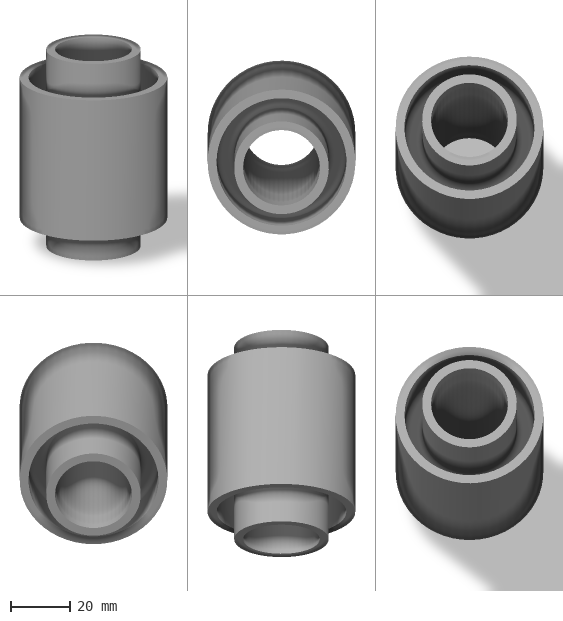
import cadquery as cq

outer_diameter = 50.0
outer_length = 50.0
inner_diameter = 32.0
inner_length = 70.0
bore_diameter = 26.0
sleeve_wall = 3.0
recess_depth = 15.0
fillet_radius = 2.0

recess_outer_diameter = outer_diameter - 2 * sleeve_wall
web_length = outer_length - 2 * recess_depth


def tube(outside_diameter, inside_diameter, length):
    """Plain tube on the Z axis, centred on the origin."""
    lower_end = cq.Workplane("XY").workplane(offset=-length / 2)
    return lower_end.circle(outside_diameter / 2).circle(inside_diameter / 2).extrude(length)


def end_recess():
    """Ring-shaped recess at the upper end, with rounded edges at its floor."""
    ring = (
        cq.Workplane("XY")
        .workplane(offset=web_length / 2)
        .circle(recess_outer_diameter / 2)
        .circle(inner_diameter / 2)
        .extrude(recess_depth)
    )
    return ring.faces("<Z").edges().fillet(fillet_radius)


body = tube(outer_diameter, bore_diameter, outer_length)
inner_sleeve = tube(inner_diameter, bore_diameter, inner_length)

upper_recess = end_recess()
lower_recess = upper_recess.mirror("XY")

result = body.union(inner_sleeve).cut(upper_recess).cut(lower_recess)